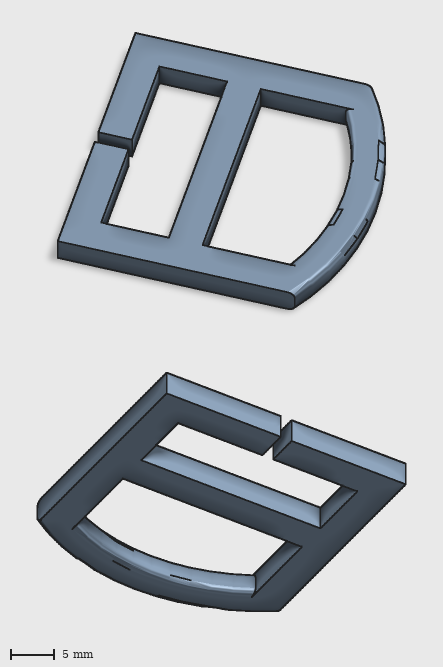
import cadquery as cq
import math

length = 33.1
width = 32.0
thickness = 3.0

wall = 4.0
slot_length = 8.0
gap = 1.45
bow_width = 3.85
outer_radius = 28.0
edge_round = 0.75

half_width = width / 2
half_opening = half_width - wall
inner_radius = outer_radius - bow_width
arc_centre_x = length - outer_radius
window_start = wall + slot_length + wall


def bowed_plate(start_x, half_height, radius):
    """Plate with a straight left side and an arc on the right."""
    corner_x = arc_centre_x + math.sqrt(radius**2 - half_height**2)
    return (
        cq.Workplane("XY")
        .moveTo(start_x, -half_height)
        .lineTo(corner_x, -half_height)
        .threePointArc((arc_centre_x + radius, 0), (corner_x, half_height))
        .lineTo(start_x, half_height)
        .close()
        .extrude(thickness)
    )


def cut_box(start_x, size_x, size_y):
    """Through-cutting block centred on the X axis."""
    block = cq.Workplane("XY").box(size_x, size_y, thickness, centered=(False, True, False))
    return block.translate((start_x, 0, 0))


frame = bowed_plate(0, half_width, outer_radius)
window = bowed_plate(window_start, half_opening, inner_radius)
slot = cut_box(wall, slot_length, 2 * half_opening)
split = cut_box(0, wall, gap)
frame = frame.cut(window).cut(slot).cut(split)

result = frame.edges("%CIRCLE").fillet(edge_round)